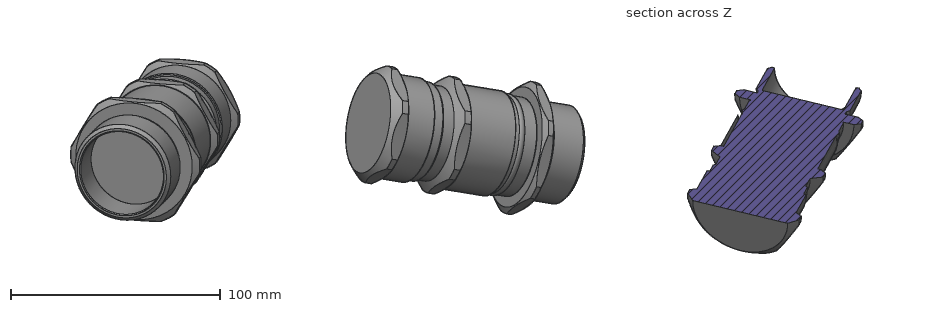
import cadquery as cq
import math

TOTAL_LENGTH = 104.3
NUT_CHAMFER_TAN = math.tan(math.radians(30))

thread_radius = 47.8 / 2
thread_chamfer = 1.7
thread_end = 17.1
undercut_radius = 44.8 / 2
undercut_start = thread_end + thread_radius - undercut_radius

bore_radius = 41.2 / 2
bore_depth = 17.4
bore_chamfer = 0.5

lock_nut_flats = 59.0
lock_nut_corner_radius = 32.1
lock_nut_start = 19.9
lock_nut_end = 26.1
lock_nut_face_radius = 29.0

neck_radius = 48.0 / 2
neck_chamfer = 0.5
ring_position = 34.3
ring_half_width = 1.5
ring_root_radius = 22.9
ring_outer_radius = 24.6

body_radius = 50.9 / 2
body_start = 38.4
sleeve_inner_radius = 50.4 / 2
gland_nut_flats = 52.0
gland_nut_corner_radius = 28.4
body_nut_start = 61.8
body_nut_end = 70.0
body_nut_middle = (body_nut_start + body_nut_end) / 2

stem_radius = 46.0 / 2
collar_radius = neck_radius
collar_start = 75.5
collar_chamfer = collar_radius - stem_radius
cap_radius = 50.6 / 2
cap_start = 81.1
cap_chamfer = 0.5
cap_nut_start = 95.2
cap_end_radius = 24.1


def revolve_profile(points):
    """Turn (radius, y) points, closed along the axis, about the Y axis."""
    closed = [(0, points[0][1])] + points + [(0, points[-1][1])]
    return cq.Workplane("XY").polyline(closed).close().revolve(360, (0, 0, 0), (0, 1, 0))


def chamfered_nut(flats, corner_radius, start, end, start_radius, end_radius, end_tan=NUT_CHAMFER_TAN):
    """Hexagon with flats facing +Z and -Z, its corners turned down by a cylinder and two cones."""
    hexagon = (
        cq.Workplane("XZ", origin=(0, start, 0))
        .polygon(6, flats / math.cos(math.radians(30)))
        .extrude(start - end)
    )
    envelope = revolve_profile([
        (start_radius, start),
        (corner_radius, start + (corner_radius - start_radius) * NUT_CHAMFER_TAN),
        (corner_radius, end - (corner_radius - end_radius) * end_tan),
        (end_radius, end),
    ])
    return hexagon.intersect(envelope)


def turned_core():
    """Stepped round body running from the thread to the cap."""
    return revolve_profile([
        (thread_radius - thread_chamfer, 0),
        (thread_radius, thread_chamfer),
        (thread_radius, thread_end),
        (undercut_radius, undercut_start),
        (undercut_radius, lock_nut_end),
        (neck_radius - neck_chamfer, lock_nut_end),
        (neck_radius, lock_nut_end + neck_chamfer),
        (neck_radius, body_nut_start),
        (sleeve_inner_radius, body_nut_start),
        (sleeve_inner_radius, body_start),
        (body_radius, body_start),
        (body_radius, body_nut_middle),
        (stem_radius, body_nut_middle),
        (stem_radius, collar_start),
        (collar_radius, collar_start + collar_chamfer),
        (collar_radius, cap_start),
        (cap_radius - cap_chamfer, cap_start),
        (cap_radius, cap_start + cap_chamfer),
        (cap_radius, cap_nut_start),
        (cap_end_radius, cap_nut_start),
        (cap_end_radius, TOTAL_LENGTH),
    ])


def sealing_ring():
    """Exposed part of an O-ring sunk into the neck."""
    ring_start = ring_position - ring_half_width
    ring_end = ring_position + ring_half_width
    return (
        cq.Workplane("XY")
        .moveTo(ring_root_radius, ring_start)
        .lineTo(neck_radius, ring_start)
        .threePointArc((ring_outer_radius, ring_position), (neck_radius, ring_end))
        .lineTo(ring_root_radius, ring_end)
        .close()
        .revolve(360, (0, 0, 0), (0, 1, 0))
    )


def bore():
    """Flat-bottomed bore with a small chamfer at its mouth."""
    return revolve_profile([
        (bore_radius + bore_chamfer, 0),
        (bore_radius, bore_chamfer),
        (bore_radius, bore_depth),
    ])


lock_nut = chamfered_nut(
    lock_nut_flats, lock_nut_corner_radius, lock_nut_start, lock_nut_end,
    lock_nut_face_radius, lock_nut_face_radius,
)
body_nut = chamfered_nut(
    gland_nut_flats, gland_nut_corner_radius, body_nut_start, body_nut_end,
    body_radius, stem_radius,
)
cap_nut = chamfered_nut(
    gland_nut_flats, gland_nut_corner_radius, cap_nut_start, TOTAL_LENGTH,
    cap_radius, cap_end_radius, end_tan=1.0,
)

result = turned_core()
for feature in (sealing_ring(), lock_nut, body_nut, cap_nut):
    result = result.union(feature)
result = result.cut(bore())